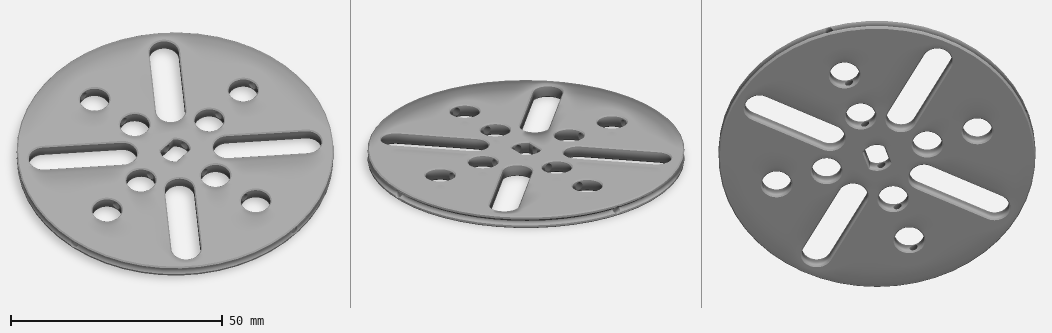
import cadquery as cq
import math

disc_diameter = 75.0
thickness = 3.15
edge_chamfer = 0.3

groove_depth = 1.0
groove_width = 1.6
seam_angle = 30.0

hole_diameter = 7.0
inner_ring_radius = 12.5
outer_ring_radius = 25.0
slot_end_radius = 31.3
centre_flat_distance = 5.1
arm_count = 4
slot_angle = 180 / arm_count

cross_hole_diameter = 2.0
cutter_overrun = 0.75

disc_radius = disc_diameter / 2
mid_height = thickness / 2


def grooved_disc():
    """Disc whose rim carries a V-groove, as a revolved half section.

    The seam is turned away from the cross holes.
    """
    flat_radius = disc_radius - edge_chamfer
    groove_bottom = mid_height - groove_width / 2
    groove_top = mid_height + groove_width / 2
    return (
        cq.Workplane("XZ")
        .moveTo(0, 0)
        .lineTo(flat_radius, 0)
        .lineTo(disc_radius, edge_chamfer)
        .lineTo(disc_radius, groove_bottom)
        .lineTo(disc_radius - groove_depth, mid_height)
        .lineTo(disc_radius, groove_top)
        .lineTo(disc_radius, thickness - edge_chamfer)
        .lineTo(flat_radius, thickness)
        .lineTo(0, thickness)
        .close()
        .revolve(360, (0, 0, 0), (0, 1, 0))
        .rotate((0, 0, 0), (0, 0, 1), seam_angle)
    )


def round_holes():
    """Two rings of four holes, on the X and Y axes."""
    holes = cq.Workplane("XY")
    for ring_radius in (inner_ring_radius, outer_ring_radius):
        ring = cq.Workplane("XY").polarArray(ring_radius, 0, 360, arm_count)
        holes = holes.add(ring.circle(hole_diameter / 2).extrude(thickness))
    return holes.combine()


def diagonal_slots():
    """Four radial slots midway between the rows of holes."""
    slot_length = slot_end_radius - inner_ring_radius + hole_diameter
    slot_middle = (slot_end_radius + inner_ring_radius) / 2
    return (
        cq.Workplane("XY")
        .polarArray(slot_middle, slot_angle, 360, arm_count)
        .slot2D(slot_length, hole_diameter)
        .extrude(thickness)
    )


def centre_opening():
    """Round shaft opening with two flats facing along X."""
    half_flat = centre_flat_distance / 2
    arc_radius = hole_diameter / 2
    flat_end = math.sqrt(arc_radius**2 - half_flat**2)
    return (
        cq.Workplane("XY")
        .moveTo(half_flat, -flat_end)
        .lineTo(half_flat, flat_end)
        .threePointArc((0, arc_radius), (-half_flat, flat_end))
        .lineTo(-half_flat, -flat_end)
        .threePointArc((0, -arc_radius), (half_flat, -flat_end))
        .close()
        .extrude(thickness)
    )


def cross_hole(direction):
    """Cutter through the whole disc at mid height along a horizontal direction.

    Its seam lies at the top, clear of the sharp bottom of the groove.
    """
    start_distance = disc_radius + cutter_overrun
    drill_plane = cq.Plane(origin=(0, 0, mid_height), xDir=(0, 0, 1), normal=direction)
    return (
        cq.Workplane(drill_plane)
        .workplane(offset=-start_distance)
        .circle(cross_hole_diameter / 2)
        .extrude(2 * start_distance)
    )


body = grooved_disc()
body = body.cut(round_holes()).cut(diagonal_slots()).cut(centre_opening())

rim_edges = []
for face in body.faces("|Z").vals():
    for opening_rim in face.innerWires():
        rim_edges.extend(opening_rim.Edges())
body = body.newObject(rim_edges).chamfer(edge_chamfer)

result = body.cut(cross_hole((1, 0, 0))).cut(cross_hole((0, 1, 0)))